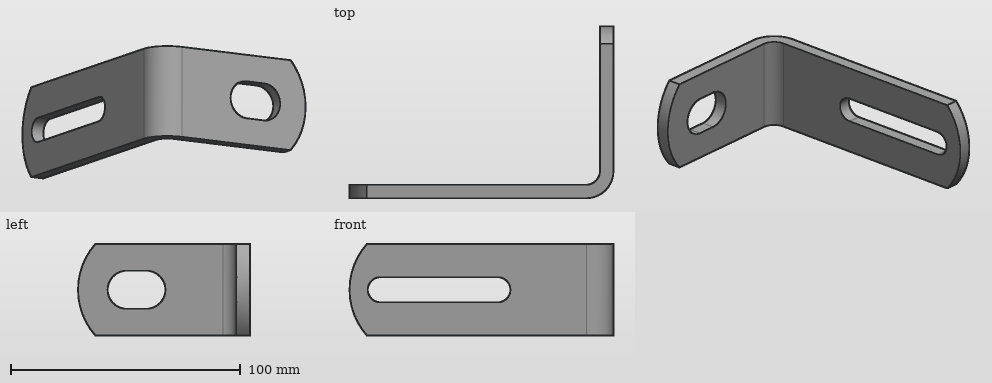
import cadquery as cq

long_side = 114.9
short_side = 74.9
bar_width = 40.0
thickness = 6.0
inner_bend_radius = 6.0
end_radius = 30.0

long_slot_length = 61.9
long_slot_width = 10.8
long_slot_gap = 8.0
short_slot_length = 25.0
short_slot_width = 16.4
short_slot_gap = 13.0

outer_bend_radius = inner_bend_radius + thickness


def bent_bar():
    """L profile in XY with its outer corner at (long_side, 0), centred on Z = 0."""
    profile = (
        cq.Workplane("XY")
        .polyline([
            (0, 0),
            (long_side, 0),
            (long_side, short_side),
            (long_side - thickness, short_side),
            (long_side - thickness, thickness),
            (0, thickness),
        ])
        .close()
        .extrude(bar_width / 2, both=True)
    )
    inner_corner = cq.selectors.NearestToPointSelector((long_side - thickness, thickness, 0))
    outer_corner = cq.selectors.NearestToPointSelector((long_side, 0, 0))
    return (
        profile
        .edges("|Z").edges(inner_corner).fillet(inner_bend_radius)
        .edges("|Z").edges(outer_corner).fillet(outer_bend_radius)
    )


def leg_outline(leg_length):
    """Block with one arced end at local x = 0, as deep as the whole bracket is long."""
    half_width = bar_width / 2
    sagitta = end_radius - (end_radius**2 - half_width**2) ** 0.5
    return (
        cq.Workplane("XZ")
        .moveTo(sagitta, -half_width)
        .threePointArc((0, 0), (sagitta, half_width))
        .lineTo(leg_length, half_width)
        .lineTo(leg_length, -half_width)
        .close()
        .extrude(-long_side)
    )


def slot_cutter(length, width, gap):
    """Slot along local x, starting at the given gap from the tip at x = 0."""
    return (
        cq.Workplane("XZ")
        .center(gap + length / 2, 0)
        .slot2D(length, width)
        .extrude(-thickness)
    )


def place_on_short_leg(shape):
    """Turn a shape from the long leg so that its tip is at the end of the short leg."""
    return shape.rotate((0, 0, 0), (0, 0, 1), -90).translate((long_side - thickness, short_side, 0))


def place_outline_across(shape):
    """Turn an arced outline to face +Y, with its depth spanning the full X length."""
    return shape.rotate((0, 0, 0), (0, 0, 1), -90).translate((0, short_side, 0))


result = (
    bent_bar()
    .intersect(leg_outline(long_side))
    .intersect(place_outline_across(leg_outline(short_side)))
    .cut(slot_cutter(long_slot_length, long_slot_width, long_slot_gap))
    .cut(place_on_short_leg(slot_cutter(short_slot_length, short_slot_width, short_slot_gap)))
)